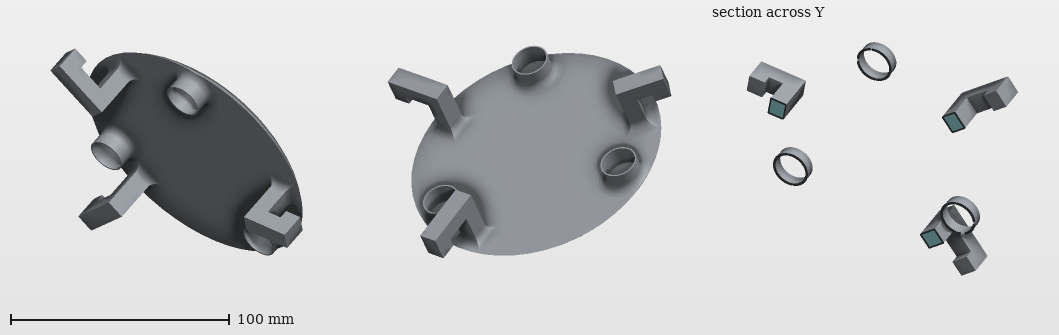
import cadquery as cq
import math

DISC_RADIUS = 60.0
DOME_HEIGHT = 16.0
DOME_RIM_ANGLE = 50

BOSS_COUNT = 3
BOSS_FIRST_ANGLE = 90
BOSS_CIRCLE_RADIUS = 49.2
BOSS_RADIUS = 8.6
BOSS_HOLE_RADIUS = 8.0
BOSS_HEIGHT = 10.0

HOOK_DEPTH = 25.0
HOOK_WIDTH = 9.0
HOOK_BAR = 8.0
HOOK_LIP_LENGTH = 12.4
HOOK_INNER_RADIUS = 46.0
LONG_REACH = 75.1
SHORT_REACH = 69.0
HOOK_REACH_BY_ANGLE = {9: SHORT_REACH, 144: LONG_REACH, 234: LONG_REACH}

FLARE_RADIUS = 4.0
ARC_MIDPOINT = FLARE_RADIUS * (1 - math.sqrt(0.5))

Y_AXIS_START = (0, 0, 0)
Y_AXIS_END = (0, 1, 0)


def place_at_angle(body, angle):
    """Turn a body built along +X to the given angle, counted from +X toward +Z."""
    return body.rotate(Y_AXIS_START, Y_AXIS_END, -angle)


def make_dome():
    """Dome whose profile is level at the crown and steepens steadily toward the rim."""
    crown = (0, DOME_HEIGHT)
    rim = (DISC_RADIUS, 0)
    tangents_meet = (DISC_RADIUS - DOME_HEIGHT / math.tan(math.radians(DOME_RIM_ANGLE)), DOME_HEIGHT)
    return (
        cq.Workplane("XY")
        .lineTo(*rim)
        .bezier([rim, tangents_meet, crown])
        .close()
        .revolve(360, Y_AXIS_START, Y_AXIS_END)
    )


def make_boss():
    """Round boss with a flared root, on the +X side."""
    wall = (
        cq.Workplane("XY")
        .lineTo(BOSS_RADIUS + FLARE_RADIUS, 0)
        .threePointArc((BOSS_RADIUS + ARC_MIDPOINT, -ARC_MIDPOINT), (BOSS_RADIUS, -FLARE_RADIUS))
        .lineTo(BOSS_RADIUS, -BOSS_HEIGHT)
        .lineTo(0, -BOSS_HEIGHT)
        .close()
        .revolve(360, Y_AXIS_START, Y_AXIS_END)
    )
    hole = cq.Workplane("XZ").circle(BOSS_HOLE_RADIUS).extrude(BOSS_HEIGHT)
    return wall.cut(hole).translate((BOSS_CIRCLE_RADIUS, 0, 0))


def flare_prism(plane, core_width):
    """Long prism whose section narrows along concave arcs from the flat face to core_width."""
    half = core_width / 2
    return (
        cq.Workplane(plane)
        .moveTo(-half - FLARE_RADIUS, 0)
        .lineTo(half + FLARE_RADIUS, 0)
        .threePointArc((half + ARC_MIDPOINT, -ARC_MIDPOINT), (half, -FLARE_RADIUS))
        .lineTo(-half, -FLARE_RADIUS)
        .threePointArc((-half - ARC_MIDPOINT, -ARC_MIDPOINT), (-half - FLARE_RADIUS, 0))
        .close()
        .extrude(HOOK_WIDTH + 2 * FLARE_RADIUS, both=True)
    )


def make_hook(reach):
    """Square-section hook with a mitred flare around the root of its post, on the +X side."""
    post_outer = HOOK_INNER_RADIUS + HOOK_BAR
    foot_top = -HOOK_DEPTH + HOOK_BAR
    lip_top = -HOOK_DEPTH + HOOK_LIP_LENGTH
    hook = (
        cq.Workplane("XY")
        .moveTo(HOOK_INNER_RADIUS, 0)
        .lineTo(HOOK_INNER_RADIUS, -HOOK_DEPTH)
        .lineTo(reach, -HOOK_DEPTH)
        .lineTo(reach, lip_top)
        .lineTo(reach - HOOK_BAR, lip_top)
        .lineTo(reach - HOOK_BAR, foot_top)
        .lineTo(post_outer, foot_top)
        .lineTo(post_outer, 0)
        .close()
        .extrude(HOOK_WIDTH / 2, both=True)
    )
    flare = flare_prism("XY", HOOK_BAR).intersect(flare_prism("ZY", HOOK_WIDTH))
    post_center = HOOK_INNER_RADIUS + HOOK_BAR / 2
    return hook.union(flare.translate((post_center, 0, 0)))


rim_limit = cq.Workplane("XZ").circle(DISC_RADIUS).extrude(BOSS_HEIGHT)

result = make_dome()
for index in range(BOSS_COUNT):
    boss_angle = BOSS_FIRST_ANGLE + index * 360 / BOSS_COUNT
    result = result.union(place_at_angle(make_boss().intersect(rim_limit), boss_angle))
for hook_angle, hook_reach in HOOK_REACH_BY_ANGLE.items():
    result = result.union(place_at_angle(make_hook(hook_reach), hook_angle))